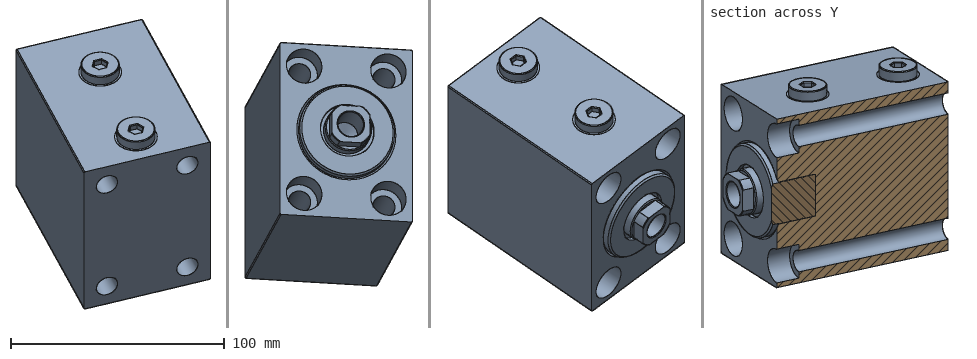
import cadquery as cq
import math


overall_length = 105.0
rod_protrusion = 12.0
block_length = overall_length - rod_protrusion
block_width = 63.0
block_height = 85.0
block_top = block_height / 2
block_edge_chamfer = 0.5

bolt_spacing_y = 40.0
bolt_spacing_z = 63.0
bolt_hole_diameter = 10.5
bolt_head_diameter = 16.8
bolt_head_depth = 12.0

gland_diameter = 45.0
gland_protrusion = 2.9
gland_depth = 21.0
gland_chamfer = 0.8
gland_bore_chamfer = 1.0
wiper_recess_diameter = 25.5
wiper_recess_depth = 2.0

rod_diameter = 22.0
rod_shoulder_protrusion = 6.0
rod_shoulder_chamfer = 0.5
rod_end_chamfer = 0.3
rod_end_diameter = rod_diameter - 2 * rod_shoulder_chamfer
rod_across_flats = 18.1
rod_hole_diameter = 12.2
rod_hole_depth = 15.8
rod_hole_chamfer = 0.4
drill_tip_angle = 118.0

plug_positions_x = (28.6, 77.6)
plug_diameter = 18.0
plug_protrusion = 4.8
plug_chamfer = 0.4
plug_recess_diameter = 20.0
plug_recess_depth = 0.1
hex_across_flats = 6.0
hex_depth = 2.9
hex_chamfer = 0.4


def disc_x(diameter, x_start, x_end):
    """Cylinder on the X axis between two X positions."""
    return cq.Workplane("YZ", origin=(x_start, 0, 0)).circle(diameter / 2).extrude(x_end - x_start)


def cone_x(base_diameter, tip_diameter, x_base, height):
    """Solid cone on the X axis that narrows from x_base toward +X."""
    cone = cq.Solid.makeCone(
        base_diameter / 2, tip_diameter / 2, height, cq.Vector(x_base, 0, 0), cq.Vector(1, 0, 0)
    )
    return cq.Workplane(cone)


def make_block():
    block = cq.Workplane("XY").box(block_length, block_width, block_height)
    block = block.edges("|X").chamfer(block_edge_chamfer).translate((block_length / 2, 0, 0))

    block = (
        block.faces("<X").workplane(centerOption="CenterOfBoundBox")
        .rect(bolt_spacing_y, bolt_spacing_z, forConstruction=True).vertices()
        .cboreHole(bolt_hole_diameter, bolt_head_diameter, bolt_head_depth)
    )

    bore_mouth_diameter = gland_diameter + 2 * gland_bore_chamfer
    block = block.cut(disc_x(gland_diameter, 0, gland_depth))
    block = block.cut(cone_x(bore_mouth_diameter, gland_diameter, 0, gland_bore_chamfer))

    recesses = (
        cq.Workplane("XY", origin=(0, 0, block_top))
        .pushPoints([(x, 0) for x in plug_positions_x])
        .circle(plug_recess_diameter / 2).extrude(-plug_recess_depth)
    )
    return block.cut(recesses)


def make_gland():
    gland = disc_x(gland_diameter, -gland_protrusion, gland_depth)
    gland = gland.faces("<X").edges().chamfer(gland_chamfer)
    gland = gland.cut(disc_x(rod_diameter, -gland_protrusion, gland_depth))
    recess_floor = wiper_recess_depth - gland_protrusion
    return gland.cut(disc_x(wiper_recess_diameter, -gland_protrusion, recess_floor))


def make_rod():
    shank = disc_x(rod_diameter, -rod_shoulder_protrusion, gland_depth)
    shank = shank.faces("<X").edges().chamfer(rod_shoulder_chamfer)

    end = disc_x(rod_end_diameter, -rod_protrusion, -rod_shoulder_protrusion)
    end = end.faces("<X").edges().chamfer(rod_end_chamfer)
    flats = (
        cq.Workplane("YZ", origin=(-rod_protrusion, 0, 0))
        .rect(rod_across_flats, rod_across_flats).extrude(rod_protrusion - rod_shoulder_protrusion)
    )
    rod = shank.union(end.intersect(flats))

    hole_bottom = rod_hole_depth - rod_protrusion
    mouth_diameter = rod_hole_diameter + 2 * rod_hole_chamfer
    tip_height = rod_hole_diameter / 2 / math.tan(math.radians(drill_tip_angle / 2))
    rod = rod.cut(disc_x(rod_hole_diameter, -rod_protrusion, hole_bottom))
    rod = rod.cut(cone_x(rod_hole_diameter, 0, hole_bottom, tip_height))
    return rod.cut(cone_x(mouth_diameter, rod_hole_diameter, -rod_protrusion, rod_hole_chamfer))


def make_plug(x):
    height = plug_protrusion + plug_recess_depth
    plug = cq.Workplane("XY").circle(plug_diameter / 2).extrude(height)
    plug = plug.faces(">Z").edges().chamfer(plug_chamfer)

    across_corners = hex_across_flats / math.cos(math.pi / 6)
    socket = (
        cq.Workplane("XY", origin=(0, 0, height)).transformed(rotate=(0, 0, 90))
        .polygon(6, across_corners).extrude(-hex_depth)
    )
    plug = plug.cut(socket)
    plug = plug.faces(">Z").wires(cq.selectors.LengthNthSelector(0)).chamfer(hex_chamfer)
    return plug.translate((x, 0, block_top - plug_recess_depth))


block = make_block()
gland = make_gland()
rod = make_rod()
plugs = [make_plug(x) for x in plug_positions_x]

result = cq.Compound.makeCompound(
    [block.val(), gland.val(), rod.val(), *[plug.val() for plug in plugs]]
)